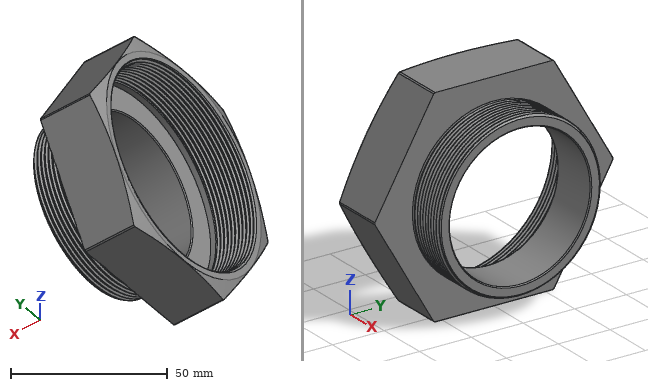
import cadquery as cq
import math

ACROSS_FLATS = 80.0
CORNER_DIAMETER = 92.0
HEAD_LENGTH = 22.0
FACE_DIAMETER = 79.8
CORNER_CHAMFER_LENGTH = 2.0

PITCH = 1.5
THREAD_DEPTH = 0.76
CREST_WIDTH = PITCH / 8
ROOT_WIDTH = PITCH / 4
THREAD_START_ANGLE = 140.0
GROOVE_OVERSHOOT = 0.08

SPIGOT_DIAMETER = 63.0
SPIGOT_LENGTH = 15.0
COLLAR_LENGTH = 1.0
SPIGOT_CHAMFER = 0.9

SOCKET_DIAMETER = 73.48
SOCKET_DEPTH = 18.0
SOCKET_THREAD_END = 15.9
SOCKET_CHAMFER = 0.85

BORE_DIAMETER = 54.4
BORE_CHAMFER = 0.4

TOTAL_LENGTH = HEAD_LENGTH + SPIGOT_LENGTH


def turned(profile):
    """Revolve a list of (x, radius) points about the X axis."""
    return cq.Workplane("XY").polyline(profile).close().revolve(360, (0, 0, 0), (1, 0, 0))


def ring(start, end, inner_radius, outer_radius):
    """Plain ring around the X axis between two X positions."""
    return turned([(start, inner_radius), (end, inner_radius), (end, outer_radius), (start, outer_radius)])


def helical_groove(start, turns, crest_radius, outward):
    """Right-hand trapezoidal groove along X, starting at THREAD_START_ANGLE from the -Z side.

    The groove is cut inward from crest_radius, or outward when outward is true.
    """
    into = 1 if outward else -1
    root_radius = crest_radius + into * THREAD_DEPTH
    mouth_radius = crest_radius - into * GROOVE_OVERSHOOT
    flank_slope = (PITCH - CREST_WIDTH - ROOT_WIDTH) / 2 / THREAD_DEPTH
    half_root = ROOT_WIDTH / 2
    half_mouth = half_root + flank_slope * (THREAD_DEPTH + GROOVE_OVERSHOOT)
    path = cq.Wire.makeHelix(PITCH, turns * PITCH, crest_radius)
    groove = (
        cq.Workplane("XZ")
        .polyline([
            (mouth_radius, -half_mouth),
            (root_radius, -half_root),
            (root_radius, half_root),
            (mouth_radius, half_mouth),
        ])
        .close()
        .sweep(cq.Workplane(obj=path), isFrenet=True)
    )
    along_x = groove.rotate((0, 0, 0), (0, 1, 0), 90)
    return along_x.rotate((0, 0, 0), (1, 0, 0), THREAD_START_ANGLE).translate((start, 0, 0))


def make_head():
    hexagon = (
        cq.Workplane("YZ")
        .transformed(rotate=(0, 0, 30))
        .polygon(6, ACROSS_FLATS, circumscribed=True)
        .extrude(HEAD_LENGTH)
    )
    envelope = turned([
        (0, 0),
        (0, FACE_DIAMETER / 2),
        (CORNER_CHAMFER_LENGTH, CORNER_DIAMETER / 2),
        (HEAD_LENGTH, CORNER_DIAMETER / 2),
        (HEAD_LENGTH, 0),
    ])
    return hexagon.intersect(envelope)


def make_opening():
    """Chamfered socket and through bore as one turned cutter."""
    socket_radius = SOCKET_DIAMETER / 2
    bore_radius = BORE_DIAMETER / 2
    return turned([
        (0, 0),
        (0, socket_radius + SOCKET_CHAMFER),
        (SOCKET_CHAMFER, socket_radius),
        (SOCKET_DEPTH, socket_radius),
        (SOCKET_DEPTH, bore_radius + BORE_CHAMFER),
        (SOCKET_DEPTH + BORE_CHAMFER, bore_radius),
        (TOTAL_LENGTH - BORE_CHAMFER, bore_radius),
        (TOTAL_LENGTH, bore_radius + BORE_CHAMFER),
        (TOTAL_LENGTH, 0),
    ])


def make_spigot():
    """Threaded spigot, cut on an overlong bar and then trimmed to its chamfered end."""
    radius = SPIGOT_DIAMETER / 2
    collar_end = HEAD_LENGTH + COLLAR_LENGTH
    groove_end = TOTAL_LENGTH + 4 * PITCH
    bar_end = groove_end + PITCH
    groove_start = collar_end - PITCH * (1 - THREAD_START_ANGLE / 360)
    turns = (groove_end - groove_start) / PITCH + 1
    groove = helical_groove(groove_start, turns, radius, outward=False)
    zone = ring(collar_end, groove_end, radius - 2 * THREAD_DEPTH, radius + 2 * THREAD_DEPTH)
    bar = ring(SOCKET_DEPTH, bar_end, BORE_DIAMETER / 2, radius)
    envelope = turned([
        (0, 0),
        (0, radius + SPIGOT_CHAMFER),
        (TOTAL_LENGTH - 2 * SPIGOT_CHAMFER, radius + SPIGOT_CHAMFER),
        (TOTAL_LENGTH, radius - SPIGOT_CHAMFER),
        (TOTAL_LENGTH, 0),
    ])
    return bar.cut(groove.intersect(zone)).intersect(envelope)


def make_socket_groove():
    """Helical groove that enters at the head face and ends squarely near the socket floor."""
    radius = SOCKET_DIAMETER / 2
    groove_start = -PITCH * (1 - THREAD_START_ANGLE / 360)
    turns = (SOCKET_THREAD_END - groove_start) / PITCH + 1
    groove = helical_groove(groove_start, turns, radius, outward=True)
    zone = ring(-2 * PITCH, SOCKET_THREAD_END, radius - 2 * THREAD_DEPTH, radius + 2 * THREAD_DEPTH)
    return groove.intersect(zone)


blank = make_head().union(make_spigot()).cut(make_opening())
result = blank.cut(make_socket_groove())